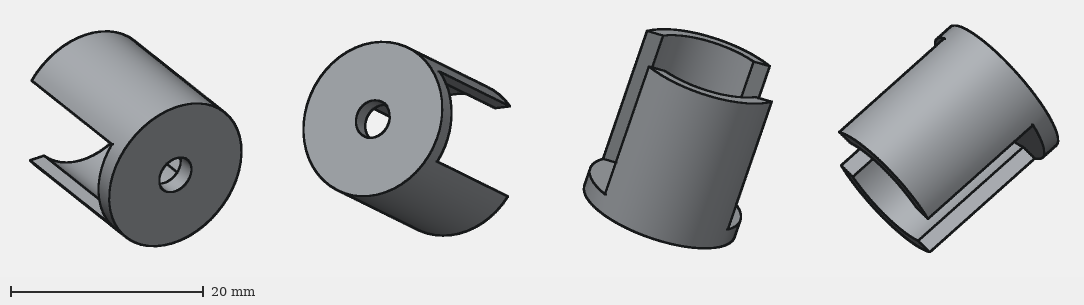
import cadquery as cq

outer_diameter = 16.5
bore_diameter = 13.8
total_length = 17.0
base_thickness = 2.0
hole_diameter = 4.0
slot_width = 9.66

roll_angle = -1.35
pitch_angle = -0.25
yaw_angle = 5.0

cavity_depth = total_length - base_thickness


def axial_cylinder(diameter, length):
    """Cylinder along +X starting at the open end of the cup."""
    return cq.Workplane("YZ").circle(diameter / 2).extrude(length)


def cross_slot():
    """Flat-sided slot through both side walls, down to the base."""
    return cq.Workplane("YZ").rect(outer_diameter * 2, slot_width).extrude(cavity_depth)


cup = axial_cylinder(outer_diameter, total_length)
cup = cup.cut(axial_cylinder(bore_diameter, cavity_depth))
cup = cup.cut(cross_slot())
cup = cup.cut(axial_cylinder(hole_diameter, total_length))

origin = (0, 0, 0)
result = (
    cup.translate((-total_length / 2, 0, 0))
    .rotate(origin, (1, 0, 0), roll_angle)
    .rotate(origin, (0, 1, 0), pitch_angle)
    .rotate(origin, (0, 0, 1), yaw_angle)
)